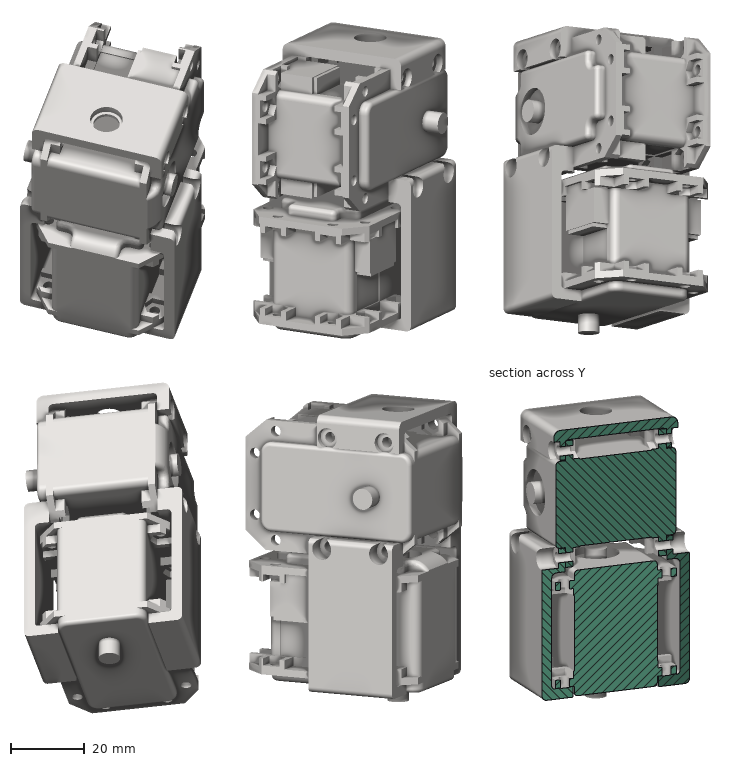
import cadquery as cq
import math


CASE_HALF_WIDTH = 12.3
CASE_FRONT = -12.0
CASE_REAR = 33.0
CASE_LENGTH = CASE_REAR - CASE_FRONT
CASE_MID_Y = (CASE_FRONT + CASE_REAR) / 2
CASE_EDGE_RADIUS = 2.0
CAP_Z = 17.75

LOWER_CAP_CORNER_RADIUS = 3.0
LOWER_CAP_EDGE_RADIUS = 1.1

UPPER_CAP_CORNER_RADIUS = 1.3
UPPER_CAP_EDGE_RADIUS = 1.25
UPPER_CAP_NOTCH = 4.85
UPPER_CAP_INNER_RADIUS = 2.0
TONGUE_HALF_WIDTH = 6.9
REAR_NOTCH_START = 28.1
TONGUE_NOSE_RADIUS = 6.0
TONGUE_NOSE_RISE = 0.25

SHAFT_DIAMETER = 5.8
SHAFT_END_Z = 22.55
BOSS_DIAMETER = 6.1
BOSS_END_Z = 19.25
BOSS_WELL_DIAMETER = 12.8
BOSS_WELL_DEPTH = 2.0

FLANGE_Z = 15.0
FLANGE_PLATE = 1.9
FLANGE_HALF_WIDTH = 17.9
FLANGE_REAR = 38.6
FLANGE_CHAMFER_X = 5.1
FLANGE_CHAMFER_Y = 6.1

PAD_WIDTH = 8.0
PAD_THICKNESS = 4.4
HOLE_DIAMETER = 2.9
HOLE_PITCH = 17.0
SIDE_HOLE_X = 15.0
FIRST_SIDE_HOLE_Y = -4.45
SIDE_HOLE_YS = [FIRST_SIDE_HOLE_Y + HOLE_PITCH * i for i in range(3)]
END_HOLE_X = HOLE_PITCH / 2
END_HOLE_Y = 35.8
NUT_FLATS = 5.0
NUT_FLOOR = 2.45

SOCKET_X = 16.95
SOCKET_Y = (16.0, 30.4)
SOCKET_BOTTOM_Z = 1.0
PLUG_X = 16.7
PLUG_Y = (16.7, 29.4)
PLUG_BOTTOM_Z = 0.0
RECESS_DEPTH = 0.4

UPPER_SERVO_Z = 36.65
BRACKET_WALL = 3.0
BRACKET_EDGE_RADIUS = 1.5
COUNTERBORE_DIAMETER = 5.65

TOP_BRACKET_HALF_WIDTH = 18.35
TOP_BRACKET_TOP = 57.65
TOP_BRACKET_BOTTOM = 49.1
TOP_BRACKET_Y = (-8.95, 15.65)
TOP_BRACKET_OUTER_RADIUS = 2.0
TOP_BRACKET_INNER_RADIUS = 1.3
TOP_COUNTERBORE_DEPTH = 1.85
ACCESS_HOLE_DIAMETER = 7.1
ACCESS_COUNTERBORE_DIAMETER = 8.8
ACCESS_COUNTERBORE_DEPTH = 2.0

SIDE_BRACKET_HALF_WIDTH = 21.85
SIDE_BRACKET_TOP = 24.3
SIDE_BRACKET_BLOCK_BOTTOM = 17.55
SIDE_BRACKET_FOOT_X = 12.5
SIDE_BRACKET_DEPTH = 25.0
SIDE_BRACKET_UPPER_INNER_RADIUS = 1.3
SIDE_BRACKET_LOWER_INNER_RADIUS = 0.9
SIDE_COUNTERBORE_DEPTH = 4.85

MOUNT_HOLE_YS = SIDE_HOLE_YS[:2]
MOUNT_MID_Y = sum(MOUNT_HOLE_YS) / 2


def block(x, y, z):
    """A box given by its (low, high) range along each axis."""
    size = [high - low for low, high in (x, y, z)]
    return cq.Workplane("XY").box(*size, centered=False).translate((x[0], y[0], z[0]))


def cylinder_z(diameter, low, high):
    return cq.Workplane("XY", origin=(0, 0, low)).circle(diameter / 2).extrude(high - low)


def case_block(low, high, corner_radius):
    """The case outline with rounded upright corners, between two heights."""
    return (
        cq.Workplane("XY", origin=(0, CASE_MID_Y, low))
        .rect(2 * CASE_HALF_WIDTH, CASE_LENGTH)
        .extrude(high - low)
        .edges("|Z")
        .fillet(corner_radius)
    )


def lower_cap():
    cap = case_block(-CAP_Z, -FLANGE_Z, LOWER_CAP_CORNER_RADIUS)
    return cap.faces("<Z").edges().fillet(LOWER_CAP_EDGE_RADIUS)


def round_corners(cap, corners, radius):
    """Round the upright edges of the upper cap at the given corners and at their mirror images."""
    edges = []
    for x, y in corners:
        for side in (-1, 1):
            middle = (side * x, y, (FLANGE_Z + CAP_Z) / 2)
            edges.append(cap.edges(cq.NearestToPointSelector(middle)).val())
    return cap.newObject(edges).fillet(radius)


def upper_cap():
    """Cap with notched corners and a tongue that rounds down to the front face."""
    shoulder_y = CASE_FRONT + UPPER_CAP_NOTCH
    rear_half_width = CASE_HALF_WIDTH - UPPER_CAP_NOTCH
    half_outline = [
        (TONGUE_HALF_WIDTH, CASE_FRONT),
        (TONGUE_HALF_WIDTH, shoulder_y),
        (CASE_HALF_WIDTH, shoulder_y),
        (CASE_HALF_WIDTH, REAR_NOTCH_START),
        (rear_half_width, REAR_NOTCH_START),
        (rear_half_width, CASE_REAR),
    ]
    mirrored = [(-x, y) for x, y in reversed(half_outline)]
    cap = (
        cq.Workplane("XY", origin=(0, 0, FLANGE_Z))
        .polyline(half_outline + mirrored)
        .close()
        .extrude(CAP_Z - FLANGE_Z)
    )

    cap = round_corners(cap, [half_outline[1], half_outline[4]], UPPER_CAP_INNER_RADIUS)
    cap = round_corners(cap, [half_outline[i] for i in (2, 3, 5)], UPPER_CAP_CORNER_RADIUS)

    axis_z = CAP_Z - TONGUE_NOSE_RADIUS
    end_z = FLANGE_Z + TONGUE_NOSE_RISE
    reach = math.sqrt(TONGUE_NOSE_RADIUS**2 - (end_z - axis_z) ** 2)
    axis_y = CASE_FRONT + reach
    mid_reach = reach / 2
    arc_middle = (axis_y - mid_reach, axis_z + math.sqrt(TONGUE_NOSE_RADIUS**2 - mid_reach**2))
    nose_cut = (
        cq.Workplane("YZ", origin=(-CASE_HALF_WIDTH, 0, 0))
        .moveTo(axis_y, CAP_Z)
        .threePointArc(arc_middle, (CASE_FRONT, end_z))
        .lineTo(CASE_FRONT, CAP_Z)
        .close()
        .extrude(2 * CASE_HALF_WIDTH)
    )
    return cap.cut(nose_cut).faces(">Z").edges("not(<Y)").fillet(UPPER_CAP_EDGE_RADIUS)


def flange_outline():
    """Outline of a flange, with its four corners cut off at a slant."""
    chamfer_x = FLANGE_HALF_WIDTH - FLANGE_CHAMFER_X
    half_outline = [
        (chamfer_x, CASE_FRONT),
        (FLANGE_HALF_WIDTH, CASE_FRONT + FLANGE_CHAMFER_Y),
        (FLANGE_HALF_WIDTH, FLANGE_REAR - FLANGE_CHAMFER_Y),
        (chamfer_x, FLANGE_REAR),
    ]
    mirrored = [(-x, y) for x, y in reversed(half_outline)]
    return cq.Workplane("XY").polyline(half_outline + mirrored).close()


def nut_pocket(angle, x, y):
    """Hexagonal nut pocket with a screw hole, open towards +X before it is turned by angle."""
    pocket_height = PAD_THICKNESS - NUT_FLOOR
    corner_diameter = NUT_FLATS / math.cos(math.pi / 6)
    hexagon = cq.Workplane("XY").polygon(6, corner_diameter).extrude(pocket_height)
    mouth = block((0, PAD_WIDTH), (-NUT_FLATS / 2, NUT_FLATS / 2), (0, pocket_height))
    hole = cylinder_z(HOLE_DIAMETER, 0, PAD_THICKNESS)
    return (
        hexagon.union(mouth)
        .union(hole)
        .rotate((0, 0, 0), (0, 0, 1), angle)
        .translate((x, y, FLANGE_Z - PAD_THICKNESS))
    )


def upper_flange():
    plate = flange_outline().extrude(FLANGE_PLATE).translate((0, 0, FLANGE_Z - FLANGE_PLATE))
    pad_limits = flange_outline().extrude(PAD_THICKNESS).translate((0, 0, FLANGE_Z - PAD_THICKNESS))
    pad_z = (FLANGE_Z - PAD_THICKNESS, FLANGE_Z)
    half_pad = PAD_WIDTH / 2

    pad_start_x = CASE_HALF_WIDTH - CASE_EDGE_RADIUS
    pad_start_y = CASE_REAR - CASE_EDGE_RADIUS
    pads = block((END_HOLE_X - half_pad, END_HOLE_X + half_pad), (pad_start_y, FLANGE_REAR), pad_z)
    pads = pads.union(pads.mirror("YZ"))
    for y in SIDE_HOLE_YS:
        pad = block((pad_start_x, FLANGE_HALF_WIDTH), (y - half_pad, y + half_pad), pad_z)
        pads = pads.union(pad).union(pad.mirror("YZ"))
    return plate.union(pads.intersect(pad_limits))


def flange_pockets():
    pockets = nut_pocket(90, END_HOLE_X, END_HOLE_Y).union(nut_pocket(90, -END_HOLE_X, END_HOLE_Y))
    for y in SIDE_HOLE_YS:
        pockets = pockets.union(nut_pocket(0, SIDE_HOLE_X, y))
        pockets = pockets.union(nut_pocket(180, -SIDE_HOLE_X, y))
    return pockets


def servo():
    inner_z = FLANGE_Z - FLANGE_PLATE
    body = case_block(-inner_z, inner_z, CASE_EDGE_RADIUS)

    socket = block((0, SOCKET_X), SOCKET_Y, (SOCKET_BOTTOM_Z, inner_z))
    plug = block((0, PLUG_X), PLUG_Y, (PLUG_BOTTOM_Z, SOCKET_BOTTOM_Z))
    recess = block(
        (CASE_HALF_WIDTH - RECESS_DEPTH, CASE_HALF_WIDTH),
        PLUG_Y,
        (PAD_THICKNESS - FLANGE_Z, PLUG_BOTTOM_Z),
    )
    for part in (socket, plug):
        body = body.union(part).union(part.mirror("YZ"))
    body = body.cut(recess).cut(recess.mirror("YZ"))

    flange = upper_flange()
    body = body.union(flange).union(flange.mirror("XY"))
    pockets = flange_pockets()
    body = body.cut(pockets).cut(pockets.mirror("XY"))

    body = body.union(lower_cap()).union(upper_cap())
    body = body.union(cylinder_z(SHAFT_DIAMETER, -SHAFT_END_Z, -CAP_Z))
    well_floor = CAP_Z - BOSS_WELL_DEPTH
    body = body.cut(cylinder_z(BOSS_WELL_DIAMETER, well_floor, CAP_Z))
    return body.union(cylinder_z(BOSS_DIAMETER, well_floor, BOSS_END_Z))


def leg_holes(half_width, depth, height):
    """Counterbored screw holes through both legs of a bracket, sunk from the outer faces."""
    cutters = cq.Workplane("XY")
    for y in MOUNT_HOLE_YS:
        start = cq.Workplane("YZ", origin=(-half_width, y, height))
        hole = start.circle(HOLE_DIAMETER / 2).extrude(half_width)
        counterbore = start.circle(COUNTERBORE_DIAMETER / 2).extrude(depth)
        cutters = cutters.add(hole.union(counterbore))
    left = cutters.combine()
    return left.union(left.mirror("YZ"))


def top_bracket():
    inner_top = TOP_BRACKET_TOP - BRACKET_WALL
    legs_z = (TOP_BRACKET_BOTTOM, TOP_BRACKET_TOP)
    bracket = block((-TOP_BRACKET_HALF_WIDTH, TOP_BRACKET_HALF_WIDTH), TOP_BRACKET_Y, legs_z)
    bracket = bracket.edges("|Y and >Z").fillet(TOP_BRACKET_OUTER_RADIUS)
    opening = block((-FLANGE_Z, FLANGE_Z), TOP_BRACKET_Y, (TOP_BRACKET_BOTTOM, inner_top))
    opening = opening.edges("|Y and >Z").fillet(TOP_BRACKET_INNER_RADIUS)
    bracket = bracket.cut(opening)

    access_floor = TOP_BRACKET_TOP - ACCESS_COUNTERBORE_DEPTH
    bracket = bracket.cut(cylinder_z(ACCESS_HOLE_DIAMETER, inner_top, TOP_BRACKET_TOP))
    bracket = bracket.cut(cylinder_z(ACCESS_COUNTERBORE_DIAMETER, access_floor, TOP_BRACKET_TOP))
    hole_z = UPPER_SERVO_Z + SIDE_HOLE_X
    return bracket.cut(leg_holes(TOP_BRACKET_HALF_WIDTH, TOP_COUNTERBORE_DEPTH, hole_z))


def left_side_bracket():
    """C-shaped bracket: thick block beside the upper flange, wall, and foot under the lower flange."""
    foot_bottom = -FLANGE_Z - BRACKET_WALL
    y_range = (MOUNT_MID_Y - SIDE_BRACKET_DEPTH / 2, MOUNT_MID_Y + SIDE_BRACKET_DEPTH / 2)
    wall_x = -SIDE_BRACKET_HALF_WIDTH + BRACKET_WALL

    bracket = block(
        (-SIDE_BRACKET_HALF_WIDTH, -SIDE_BRACKET_FOOT_X), y_range, (foot_bottom, SIDE_BRACKET_TOP)
    )
    bracket = bracket.edges("|Y and <X").fillet(BRACKET_EDGE_RADIUS)
    opening = block((wall_x, 0), y_range, (-FLANGE_Z, SIDE_BRACKET_BLOCK_BOTTOM))
    opening = opening.edges("|Y and <X and >Z").fillet(SIDE_BRACKET_UPPER_INNER_RADIUS)
    opening = opening.edges("|Y and <Z and <X").fillet(SIDE_BRACKET_LOWER_INNER_RADIUS)
    servo_room = block((-FLANGE_Z, 0), y_range, (-FLANGE_Z, SIDE_BRACKET_TOP))
    bracket = bracket.cut(opening).cut(servo_room)

    hole_z = UPPER_SERVO_Z - SIDE_HOLE_X
    return bracket.cut(leg_holes(SIDE_BRACKET_HALF_WIDTH, SIDE_COUNTERBORE_DEPTH, hole_z))


lower_servo = servo()
upper_servo = servo().rotate((0, 0, 0), (0, 1, 0), 90).translate((0, 0, UPPER_SERVO_Z))
servos = [lower_servo, upper_servo]

cover_bracket = top_bracket().cut(upper_servo)

left_bracket = left_side_bracket()
side_brackets = [left_bracket, left_bracket.mirror("YZ")]

result = cq.Compound.makeCompound(
    [body.solids().val() for body in servos + side_brackets + [cover_bracket]]
)